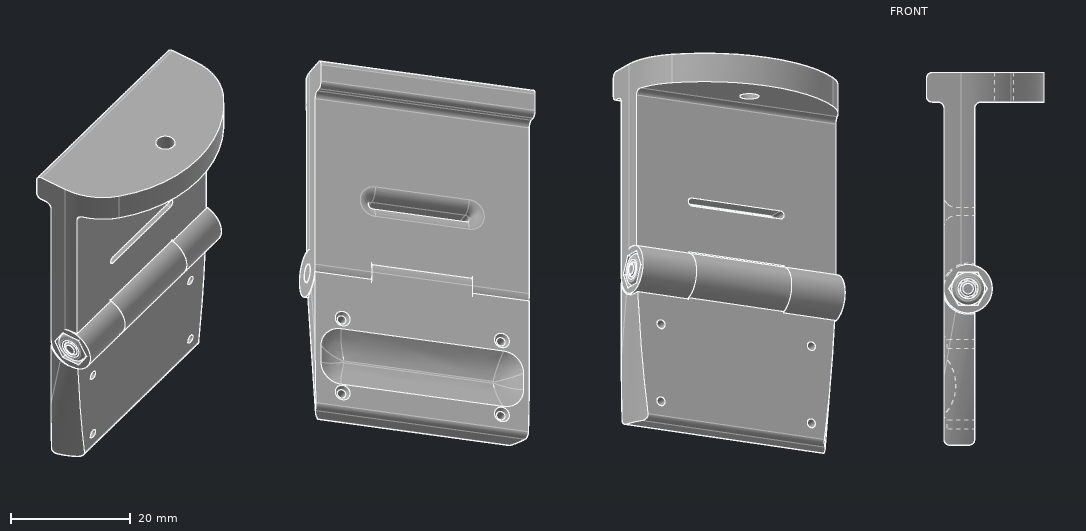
import cadquery as cq
import math

total_height = 62.4
width = 37.95
total_depth = 19.7
plate_thickness = 5.2
lip_overhang = 2.95
flange_thickness = 5.0
edge_radius = 1.0

straight_side = 5.8
corner_radius = 11.0
flange_hole_diameter = 3.2
flange_hole_x = 13.0

pivot_z = 26.2
knuckle_radius = 4.05
knuckle_clearance = 0.22
flap_knuckle_length = 17.85
bolt_hole_diameter = 3.2

slot_z = 39.1
slot_straight = 16.6
slot_height = 1.4
slot_rounding = 2.0

flap_taper_angle = 10.0
flap_taper_x = -1.45
pocket_z = 10.05
pocket_length = 35.9
pocket_height = 10.1
pocket_corner_radius = 3.55
pocket_depth = 2.0
floor_length = 26.35
floor_height = 0.1
pocket_spreads = (1, 0.8, 0.6, 0.4, 0.2, 0.02)
screw_hole_z = 10.25
screw_spacing_y = 28.2
screw_spacing_z = 13.5
screw_hole_diameter = 1.5
screw_sink_diameter = 2.6

bolt_diameter = 3.0
bolt_point_diameter = 2.55
bolt_tip_diameter = 1.75
bolt_protrusion = 0.2
nut_recess_across_flats = 5.6
nut_across_flats = 5.5
nut_length = 4.0
nut_hex_length = 2.5
nut_collar_rounding = 0.7
insert_length = 1.0
insert_diameter = 3.4

pick_margin = 0.05

face_x = -knuckle_radius
back_x = face_x + plate_thickness
lip_x = face_x - lip_overhang
apex_x = lip_x + total_depth
tangent_x = lip_x + straight_side
half_width = width / 2
half_knuckle = flap_knuckle_length / 2
flange_bottom = total_height - flange_thickness
relief_radius = knuckle_radius + knuckle_clearance


def rounded_outline(z, height):
    """Plan outline with straight sides, two corner arcs and one large arc through the apex."""
    reach = apex_x - tangent_x
    corner_y = half_width - corner_radius
    large_radius = (reach**2 + corner_y**2 - corner_radius**2) / (2 * (reach - corner_radius))
    large_x = apex_x - large_radius
    join_angle = math.atan2(corner_y, tangent_x - large_x)
    middle_angle = (join_angle + math.pi / 2) / 2

    def corner_point(angle):
        return (tangent_x + corner_radius * math.cos(angle), corner_y + corner_radius * math.sin(angle))

    middle = corner_point(middle_angle)
    join = corner_point(join_angle)
    front_x = lip_x - total_depth
    return (
        cq.Workplane("XY", origin=(0, 0, z))
        .moveTo(front_x, half_width)
        .lineTo(tangent_x, half_width)
        .threePointArc(middle, join)
        .threePointArc((apex_x, 0), (join[0], -join[1]))
        .threePointArc((middle[0], -middle[1]), (tangent_x, -half_width))
        .lineTo(front_x, -half_width)
        .close()
        .extrude(height)
    )


def cylinder_y(radius, y0, y1):
    """Cylinder about the pivot axis."""
    return cq.Workplane("XZ", origin=(0, y0, pivot_z)).circle(radius).extrude(y0 - y1)


def hexagon_y(across_flats, y0, y1):
    """Hexagonal prism about the pivot axis with two flats level."""
    corner_diameter = across_flats / math.cos(math.pi / 6)
    return cq.Workplane("XZ", origin=(0, y0, pivot_z)).polygon(6, corner_diameter).extrude(y0 - y1)


def end_knuckle_zones(radius):
    """Cylinders about the pivot on both sides of the flap knuckle."""
    return cylinder_y(radius, -half_width, -half_knuckle).union(cylinder_y(radius, half_knuckle, half_width))


def make_bracket():
    profile = (
        cq.Workplane("XZ", origin=(0, half_width, 0))
        .moveTo(face_x, pivot_z)
        .lineTo(face_x, flange_bottom)
        .lineTo(lip_x, flange_bottom)
        .lineTo(lip_x, total_height)
        .lineTo(apex_x, total_height)
        .lineTo(apex_x, flange_bottom)
        .lineTo(back_x, flange_bottom)
        .lineTo(back_x, pivot_z)
        .close()
        .extrude(width)
    )
    lip_and_roots = cq.selectors.BoxSelector(
        (lip_x - pick_margin, -pick_margin, flange_bottom - pick_margin),
        (back_x + pick_margin, pick_margin, total_height + pick_margin),
    )
    body = profile.edges(lip_and_roots).fillet(edge_radius)
    body = body.intersect(rounded_outline(0, total_height))
    body = body.cut(cylinder_y(relief_radius, -half_knuckle, half_knuckle))
    body = body.union(end_knuckle_zones(knuckle_radius))
    body = body.cut(cylinder_y(bolt_hole_diameter / 2, -half_width, half_width))
    body = body.cut(hexagon_y(nut_recess_across_flats, -half_width, -half_width + nut_length))
    flange_hole = (
        cq.Workplane("XY", origin=(lip_x + flange_hole_x, 0, flange_bottom))
        .circle(flange_hole_diameter / 2)
        .extrude(flange_thickness)
    )
    body = body.cut(flange_hole)
    slot = (
        cq.Workplane("YZ", origin=(face_x, 0, slot_z))
        .slot2D(slot_straight + slot_height, slot_height)
        .extrude(plate_thickness)
    )
    body = body.cut(slot)
    slot_rim = cq.selectors.BoxSelector(
        (face_x - pick_margin, -slot_straight, slot_z - slot_height),
        (face_x + pick_margin, slot_straight, slot_z + slot_height),
    )
    return body.edges(slot_rim).fillet(slot_rounding)


def finger_pocket():
    """Scooped pocket: rounded rectangles that shrink along a circular arc down to the floor."""
    half_height = pocket_height / 2
    scoop_radius = (half_height**2 + pocket_depth**2) / (2 * pocket_depth)
    sections = []
    for spread in pocket_spreads:
        rise = scoop_radius - math.sqrt(scoop_radius**2 - (spread * half_height) ** 2)
        length = floor_length + spread * (pocket_length - floor_length)
        height = floor_height + spread * (pocket_height - floor_height)
        section = cq.Sketch().rect(length, height).vertices().fillet(pocket_corner_radius * spread)
        sections.append(section.moved(cq.Location(cq.Vector(0, 0, pocket_depth - rise))))
    return cq.Workplane("YZ", origin=(face_x, 0, pocket_z)).placeSketch(*sections).loft()


def screw_hole(y, z):
    """Through hole with a 90 degree countersink in the front face."""
    sink = screw_sink_diameter / 2
    hole = screw_hole_diameter / 2
    return (
        cq.Workplane("XY", origin=(face_x, y, z))
        .lineTo(0, sink)
        .lineTo(sink - hole, hole)
        .lineTo(plate_thickness, hole)
        .lineTo(plate_thickness, 0)
        .close()
        .revolve(360, (0, 0, 0), (1, 0, 0))
    )


def make_flap():
    plate = (
        cq.Workplane("XY", origin=(face_x, -half_width, 0))
        .box(plate_thickness, width, pivot_z, centered=False)
        .edges("|Y and <Z")
        .fillet(edge_radius)
    )
    leaning_outline = (
        rounded_outline(-total_height, 2 * total_height)
        .translate((flap_taper_x - tangent_x, 0, 0))
        .rotate((flap_taper_x, 0, pivot_z), (flap_taper_x, 1, pivot_z), flap_taper_angle)
    )
    body = plate.intersect(leaning_outline).cut(end_knuckle_zones(relief_radius))
    body = body.union(cylinder_y(knuckle_radius, -half_knuckle, half_knuckle))
    body = body.cut(cylinder_y(bolt_hole_diameter / 2, -half_knuckle, half_knuckle))
    body = body.cut(finger_pocket())
    for side_y in (-1, 1):
        for side_z in (-1, 1):
            y = side_y * screw_spacing_y / 2
            z = screw_hole_z + side_z * screw_spacing_z / 2
            body = body.cut(screw_hole(y, z))
    return body


def make_bolt():
    outer = -half_width - bolt_protrusion
    shoulder = -half_width + insert_length
    shank = cylinder_y(bolt_diameter / 2, shoulder, half_width)
    point = cylinder_y(bolt_point_diameter / 2, outer, shoulder)
    point = point.faces("<Y").chamfer((bolt_point_diameter - bolt_tip_diameter) / 2)
    return shank.union(point)


def make_insert():
    outer = -half_width
    ring = cylinder_y(insert_diameter / 2, outer, outer + insert_length)
    return ring.cut(cylinder_y(bolt_point_diameter / 2, outer, outer + insert_length))


def make_nut():
    outer = -half_width
    inner = outer + nut_length
    collar = (
        cylinder_y(nut_across_flats / 2, outer, inner)
        .faces("<Y")
        .edges()
        .fillet(nut_collar_rounding)
    )
    body = collar.union(hexagon_y(nut_across_flats, inner - nut_hex_length, inner))
    body = body.cut(cylinder_y(bolt_diameter / 2, outer, inner))
    return body.cut(cylinder_y(insert_diameter / 2, outer, outer + insert_length))


bracket = make_bracket()
flap = make_flap()
bolt = make_bolt()
nut = make_nut()
insert = make_insert()

result = cq.Compound.makeCompound([bracket.val(), flap.val(), bolt.val(), nut.val(), insert.val()])